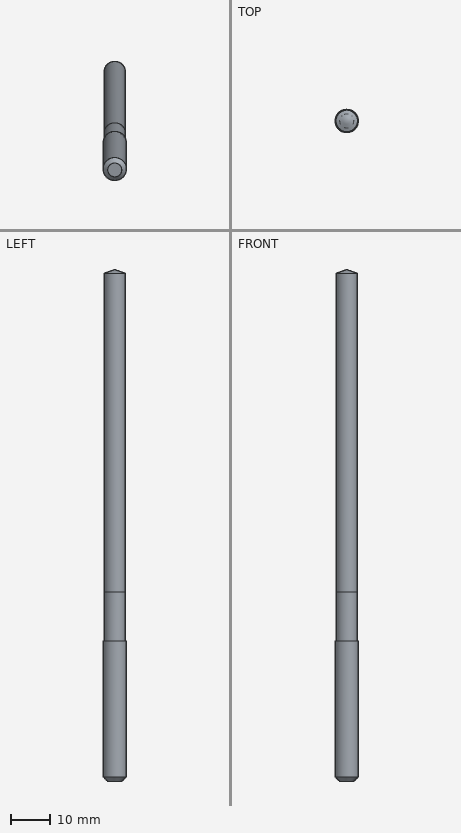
import cadquery as cq
import math

overall_length = 131.0

shank_diameter = 6.0
shank_length = 36.0
shank_chamfer = 1.2

cutter_diameter = 5.5
cutter_length = 82.5
point_angle = 140.0

cutter_radius = cutter_diameter / 2
cutter_start = overall_length - cutter_length
neck_length = cutter_start - shank_length
point_height = cutter_radius / math.tan(math.radians(point_angle / 2))


def make_holder():
    """Round shank, chamfered at its end, with a thinner neck on top."""
    shank = (
        cq.Workplane("XY")
        .circle(shank_diameter / 2)
        .extrude(shank_length)
        .faces("<Z")
        .chamfer(shank_chamfer)
    )
    return shank.faces(">Z").workplane().circle(cutter_radius).extrude(neck_length)


def make_cutter():
    """Round cutter standing on the neck and ending in a conical drill point."""
    return (
        cq.Workplane("XZ")
        .moveTo(0, cutter_start)
        .lineTo(cutter_radius, cutter_start)
        .lineTo(cutter_radius, overall_length - point_height)
        .lineTo(0, overall_length)
        .close()
        .revolve(360, (0, 0, 0), (0, 1, 0))
    )


holder = make_holder()
cutter = make_cutter()

result = cq.Compound.makeCompound([holder.val(), cutter.val()])